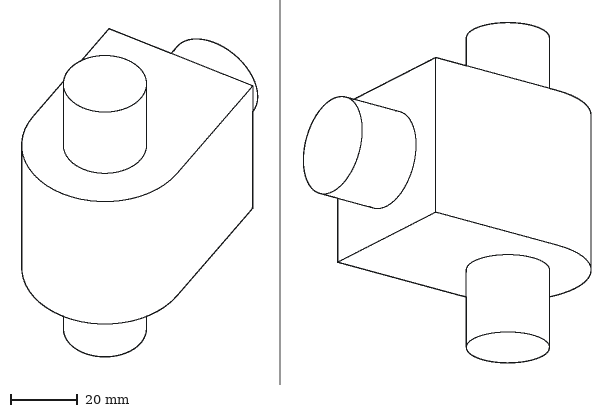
import cadquery as cq

body_width = 50.0
body_height = 50.0
flat_length = 45.0
pin_diameter = 25.0
pin_length = 100.0
stub_diameter = 30.0
stub_length = 20.0

nose_radius = body_width / 2


def make_body():
    """Block with straight sides and a half-round nose around the pin axis."""
    return (
        cq.Workplane("XY")
        .workplane(offset=-body_height / 2)
        .moveTo(-nose_radius, flat_length)
        .lineTo(-nose_radius, 0)
        .threePointArc((0, -nose_radius), (nose_radius, 0))
        .lineTo(nose_radius, flat_length)
        .close()
        .extrude(body_height)
    )


def make_pin():
    """Round pin standing out equally above and below the body."""
    return cq.Workplane("XY").circle(pin_diameter / 2).extrude(pin_length / 2, both=True)


def make_stub():
    """Round stub on the flat back face, running from the pin axis to its free end."""
    return cq.Workplane("XZ").circle(stub_diameter / 2).extrude(-(flat_length + stub_length))


result = make_body().union(make_pin()).union(make_stub())